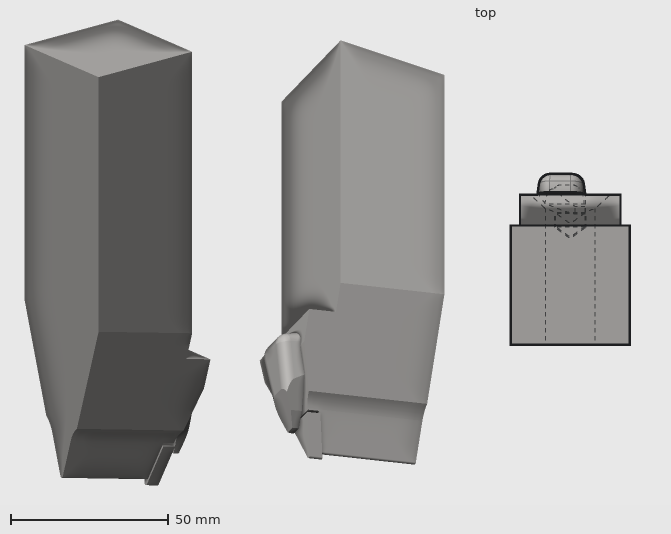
import cadquery as cq
import math

shank_side = 38.0
total_height = 152.4
half_shank = shank_side / 2

head_tilt = math.radians(13.5)
flank_slope = math.tan(math.radians(17.6))
head_back_y = 47.7
seat_corner_z = 37.0
shelf_z = 47.5
through_length = 91.5

flank_top_drop = -17.2
upper_flank_end = 17.8
lower_flank_start = 22.4
holder_tip_drop = 36.1
tip_radius = 0.6

insert_thickness = 4.9
insert_top_drop = 24.0
insert_tip_drop = 38.1
pocket_top_drop = 22.9
pocket_bottom_drop = 45.7

clamp_gap = 0.6
clamp_height = 6.9
clamp_left = -11.5
clamp_lean = math.radians(12)
clamp_right = 4.9
nose_left = 1.5
clamp_top_drop = -3.8
clamp_taper_drop = 11.9
clamp_facet_left = -2.1
clamp_facet_drop = 22.0
clamp_nose_drop = 26.2
clamp_draft = 8.0
clamp_corner_radius = 4.9
clamp_edge_radius = 3.7
blank_overrun = 9.1
nose_slope_start = 15.2
nose_thickness = 2.5
neck_diameter = 3.8
neck_drop = 7.6
neck_embed = 3.0

tilted_face = cq.Plane(
    origin=(0, head_back_y, seat_corner_z),
    xDir=(1, 0, 0),
    normal=(0, math.cos(head_tilt), -math.sin(head_tilt)),
)


def face_point(drop, out):
    """(Y, Z) of a point given its drop along the tilted face and distance out of it."""
    y = head_back_y - drop * math.sin(head_tilt) + out * math.cos(head_tilt)
    z = seat_corner_z - drop * math.cos(head_tilt) - out * math.sin(head_tilt)
    return y, z


def nose_half_width(tip_drop):
    """Half width and drop where a flank meets its tip round."""
    flank_angle = math.atan(flank_slope)
    half_width = tip_radius * math.cos(flank_angle)
    drop = tip_drop - tip_radius * (1 - math.sin(flank_angle))
    return half_width, drop


def flank_half_width(tip_drop, drop):
    """Half width of a pointed section at a given drop above its round tip."""
    tangent_half_width, tangent_drop = nose_half_width(tip_drop)
    return tangent_half_width + (tangent_drop - drop) * flank_slope


def blend_middle(lower_half, upper_half):
    """Middle point of the concave blend that is tangent to the lower flank."""
    rise = lower_flank_start - upper_flank_end
    run = upper_half - lower_half
    chord = math.hypot(run, rise)
    half_turn = math.atan2(run, rise) - math.atan(flank_slope)
    sagitta = chord / 2 * math.tan(half_turn / 2)
    middle_x = (lower_half + upper_half) / 2 - sagitta * rise / chord
    middle_drop = (lower_flank_start + upper_flank_end) / 2 - sagitta * run / chord
    return middle_x, middle_drop


def make_blade():
    """Long prism with the V section of the head, running along the tilted direction."""
    lower_half = flank_half_width(holder_tip_drop, lower_flank_start)
    upper_half = half_shank - (upper_flank_end - flank_top_drop) * flank_slope
    tip_half, tip_start = nose_half_width(holder_tip_drop)
    arc_x, arc_drop = blend_middle(lower_half, upper_half)
    return (
        cq.Workplane(tilted_face)
        .workplane(offset=-through_length)
        .moveTo(tip_half, tip_start)
        .lineTo(lower_half, lower_flank_start)
        .threePointArc((arc_x, arc_drop), (upper_half, upper_flank_end))
        .lineTo(half_shank, flank_top_drop)
        .lineTo(half_shank, -2 * total_height)
        .lineTo(-half_shank, -2 * total_height)
        .lineTo(-half_shank, flank_top_drop)
        .lineTo(-upper_half, upper_flank_end)
        .threePointArc((-arc_x, arc_drop), (-lower_half, lower_flank_start))
        .lineTo(-tip_half, tip_start)
        .threePointArc((0, holder_tip_drop), (tip_half, tip_start))
        .close()
        .extrude(2 * through_length)
    )


def make_side_body():
    """Side outline of shank and head, with the seat face and the insert pocket."""
    shelf_drop = (head_back_y - shank_side) * math.tan(head_tilt)
    seat_top = seat_corner_z - clamp_gap / math.sin(head_tilt)
    outline = [
        (0, total_height),
        (shank_side, total_height),
        (shank_side, shelf_z),
        (head_back_y, shelf_z - shelf_drop),
        (head_back_y, seat_top),
        face_point(pocket_top_drop, -clamp_gap),
        face_point(pocket_top_drop, -insert_thickness),
        face_point(pocket_bottom_drop, -insert_thickness),
        (0, 0),
    ]
    return cq.Workplane("YZ").polyline(outline).close().extrude(half_shank, both=True)


def make_clamp():
    """Drafted block with a tapered plan, rounded edges and a sloping nose."""
    blank_end = clamp_nose_drop + blank_overrun
    lean_slope = math.tan(clamp_lean)
    taper_left = clamp_left + (clamp_taper_drop - clamp_top_drop) * lean_slope
    left_corner_start = (
        clamp_left + clamp_corner_radius * math.sin(clamp_lean),
        clamp_top_drop + clamp_corner_radius * math.cos(clamp_lean),
    )
    corner_end = clamp_top_drop + clamp_corner_radius
    block = (
        cq.Workplane(tilted_face)
        .moveTo(clamp_left + (blank_end - clamp_top_drop) * lean_slope, blank_end)
        .lineTo(*left_corner_start)
        .tangentArcPoint((clamp_left + clamp_corner_radius, clamp_top_drop), relative=False)
        .lineTo(clamp_right - clamp_corner_radius, clamp_top_drop)
        .radiusArc((clamp_right, corner_end), -clamp_corner_radius)
        .lineTo(clamp_right, blank_end)
        .close()
        .extrude(clamp_height, taper=clamp_draft)
    )
    nose_cut = (
        cq.Workplane("YZ")
        .polyline([
            face_point(nose_slope_start, clamp_height),
            face_point(clamp_nose_drop, nose_thickness),
            face_point(2 * clamp_nose_drop, nose_thickness),
            face_point(2 * clamp_nose_drop, 2 * clamp_height),
            face_point(nose_slope_start, 2 * clamp_height),
        ])
        .close()
        .extrude(shank_side, both=True)
    )
    plan_cut = (
        cq.Workplane(tilted_face)
        .polyline([
            (2 * clamp_left, clamp_taper_drop),
            (taper_left, clamp_taper_drop),
            (clamp_facet_left, clamp_facet_drop),
            (nose_left, clamp_nose_drop),
            (2 * clamp_right, clamp_nose_drop),
            (2 * clamp_right, 2 * clamp_nose_drop),
            (2 * clamp_left, 2 * clamp_nose_drop),
        ])
        .close()
        .extrude(clamp_height)
    )
    top_face = cq.selectors.DirectionMinMaxSelector(tilted_face.zDir, True)
    block = block.faces(top_face).edges().fillet(clamp_edge_radius)
    return block.cut(nose_cut).cut(plan_cut)


def make_holder():
    """Shank and head, with the clamp joined to the head by its neck."""
    neck = (
        cq.Workplane(tilted_face)
        .workplane(offset=-neck_embed)
        .center(0, neck_drop)
        .circle(neck_diameter / 2)
        .extrude(2 * neck_embed)
    )
    return make_side_body().intersect(make_blade()).union(neck).union(make_clamp())


def make_insert():
    """Pointed plate with a round tip, seated against the back of the pocket."""
    top_half = flank_half_width(insert_tip_drop, insert_top_drop)
    tip_half, tip_start = nose_half_width(insert_tip_drop)
    return (
        cq.Workplane(tilted_face)
        .moveTo(-top_half, insert_top_drop)
        .lineTo(top_half, insert_top_drop)
        .lineTo(tip_half, tip_start)
        .threePointArc((0, insert_tip_drop), (-tip_half, tip_start))
        .close()
        .extrude(-insert_thickness)
    )


holder = make_holder()
insert = make_insert()
result = cq.Compound.makeCompound([holder.val(), insert.val()])